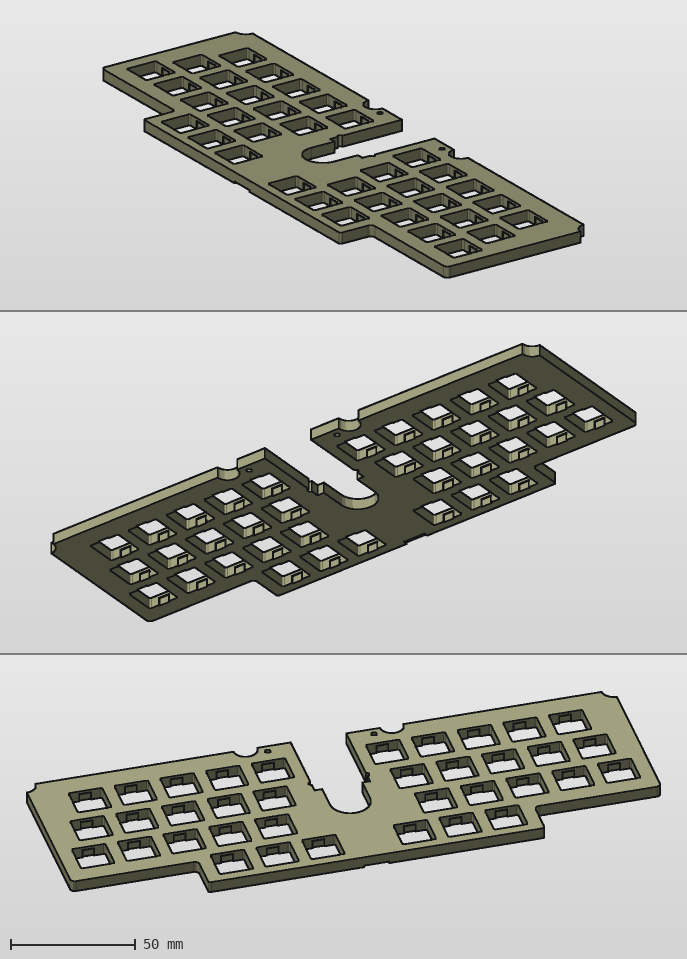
import cadquery as cq

length = 245.5
depth = 85.5
thickness = 5.0
half_length = length / 2
back_y = depth / 2
front_y = -depth / 2
tab_half_width = 70.0
wing_front_y = -27.3
outer_corner_radius = 2.0
inner_corner_radius = 2.0
tab_corner_radius = 1.0

relief_radius = 5.0
back_relief_x = 30.5

opening_half_width = 11.5
shoulder_y = 7.9
slot_half_width = 8.3
slot_end_y = -11.8
slot_arc_y = slot_end_y + slot_half_width

pin_diameter = 2.2
pin_x = 22.0
pin_y = 39.3
nick_diameter = 2.2
nick_y = 12.8

key_size = 14.0
key_corner_radius = 0.7
key_row_span = 76.0
key_pitch = key_row_span / 4
front_margin = 4.5
last_row_y = front_y + front_margin + key_size / 2

key_rows = [(1.25, 5), (1.5, 5), (1.75, 5), (1.0, 3)]

clip_width = 5.0
clip_reach = 0.5
lip_thickness = 1.5

groove_width = 10.3
groove_height = 0.7
groove_depth = 2.0


def box(x_size, y_size, z_size, x, y, z):
    """Box centred on (x, y) with its underside at height z."""
    return cq.Workplane("XY").box(x_size, y_size, z_size, centered=(True, True, False)).translate((x, y, z))


def make_plate():
    """T-shaped plate with rounded outer and inner corners on its front side."""
    wing_depth = back_y - wing_front_y
    wings = box(length, wing_depth, thickness, 0, back_y - wing_depth / 2, 0)
    tab = box(2 * tab_half_width, depth, thickness, 0, 0, 0)
    plate = wings.union(tab)
    for side in (-1, 1):
        for x, y, radius in [
            (half_length, wing_front_y, outer_corner_radius),
            (tab_half_width, wing_front_y, inner_corner_radius),
            (tab_half_width, front_y, tab_corner_radius),
        ]:
            corner = cq.selectors.NearestToPointSelector((side * x, y, thickness / 2))
            plate = plate.edges("|Z").edges(corner).fillet(radius)
    return plate


def make_opening():
    """Stepped central opening that ends in a half round."""
    return (
        cq.Workplane("XY")
        .moveTo(-opening_half_width, back_y)
        .lineTo(-opening_half_width, shoulder_y)
        .lineTo(-slot_half_width, shoulder_y)
        .lineTo(-slot_half_width, slot_arc_y)
        .threePointArc((0, slot_end_y), (slot_half_width, slot_arc_y))
        .lineTo(slot_half_width, shoulder_y)
        .lineTo(opening_half_width, shoulder_y)
        .lineTo(opening_half_width, back_y)
        .close()
        .extrude(thickness)
    )


def mirrored_cylinders(x, y, radius):
    """Two through cylinders, mirrored about the YZ plane."""
    return cq.Workplane("XY").pushPoints([(-x, y), (x, y)]).circle(radius).extrude(thickness)


def key_centers():
    """Centres of all key cutouts on both sides."""
    centers = []
    for row, (inner_offset, count) in enumerate(key_rows):
        y = last_row_y + (len(key_rows) - 1 - row) * key_pitch
        for key in range(count):
            x = (inner_offset + key) * key_pitch
            centers += [(-x, y), (x, y)]
    return centers


def make_key_cutouts():
    """Rounded square through cutouts with clip recesses below their lips."""
    centers = key_centers()
    squares = (
        cq.Workplane("XY")
        .pushPoints(centers)
        .rect(key_size, key_size)
        .extrude(thickness)
        .edges("|Z")
        .fillet(key_corner_radius)
    )
    recesses = (
        cq.Workplane("XY")
        .pushPoints(centers)
        .rect(clip_width, key_size + 2 * clip_reach)
        .extrude(thickness - lip_thickness)
    )
    return squares.union(recesses)


result = (
    make_plate()
    .cut(make_opening())
    .cut(mirrored_cylinders(half_length, back_y, relief_radius))
    .cut(mirrored_cylinders(back_relief_x, back_y, relief_radius))
    .cut(mirrored_cylinders(pin_x, pin_y, pin_diameter / 2))
    .cut(mirrored_cylinders(opening_half_width, nick_y, nick_diameter / 2))
    .cut(make_key_cutouts())
    .cut(box(groove_width, groove_depth, groove_height, 0, front_y + groove_depth / 2, 0))
)